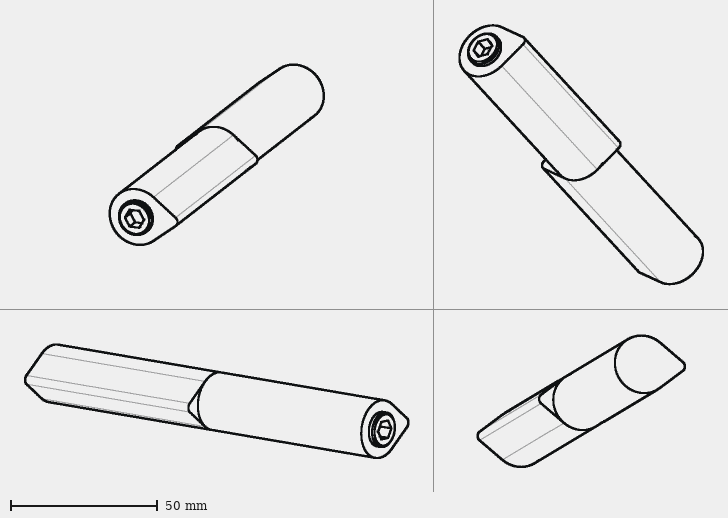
import cadquery as cq
import math

total_length = 148.0
screw_protrusion = 2.0
leaf_length = (total_length - screw_protrusion) / 2

barrel_diameter = 20.0
barrel_radius = barrel_diameter / 2
overall_width = 30.0
tip_reach = overall_width / 2
tip_radius = 1.9

screw_diameter = 12.0
screw_embedded_length = 12.0
screw_chamfer = 0.6
socket_across_flats = 6.0
socket_depth = 5.0

screw_face_y = -total_length / 2
front_leaf_y = screw_face_y + screw_protrusion
rear_leaf_y = front_leaf_y + leaf_length


def section_plane(y):
    """Plane across the hinge axis: local x is +X, local y is +Z, extrusion runs towards -Y."""
    return cq.Workplane("XZ", origin=(0, y, 0))


def make_leaf(start_y, tip_side):
    """Teardrop bar from start_y towards +Y; tip_side is +1 or -1, the X direction of its tip."""
    tip_centre = tip_reach - tip_radius
    flat_angle = math.asin((barrel_radius - tip_radius) / tip_centre)
    normal_x = tip_side * math.sin(flat_angle)
    normal_z = math.cos(flat_angle)

    barrel_x = barrel_radius * normal_x
    barrel_z = barrel_radius * normal_z
    tip_x = tip_side * tip_centre + tip_radius * normal_x
    tip_z = tip_radius * normal_z
    return (
        section_plane(start_y)
        .moveTo(barrel_x, barrel_z)
        .lineTo(tip_x, tip_z)
        .threePointArc((tip_side * tip_reach, 0), (tip_x, -tip_z))
        .lineTo(barrel_x, -barrel_z)
        .threePointArc((-tip_side * barrel_radius, 0), (barrel_x, barrel_z))
        .close()
        .extrude(-leaf_length)
    )


def make_front_leaf():
    """Leaf with its tip at +X and a blind hole for the screw in its front face."""
    screw_hole = section_plane(front_leaf_y).circle(screw_diameter / 2).extrude(-screw_embedded_length)
    return make_leaf(front_leaf_y, 1).cut(screw_hole)


def make_adjusting_screw():
    """Headless screw standing proud of the front leaf, with a chamfered rim and a hexagon socket."""
    blank = (
        section_plane(screw_face_y)
        .circle(screw_diameter / 2)
        .extrude(-(screw_protrusion + screw_embedded_length))
        .faces("<Y")
        .chamfer(screw_chamfer)
    )
    socket_across_corners = socket_across_flats / math.cos(math.radians(30))
    socket = section_plane(screw_face_y).polygon(6, socket_across_corners).extrude(-socket_depth)
    return blank.cut(socket)


front_leaf = make_front_leaf()
rear_leaf = make_leaf(rear_leaf_y, -1)
adjusting_screw = make_adjusting_screw()

result = cq.Compound.makeCompound([front_leaf.val(), rear_leaf.val(), adjusting_screw.val()])